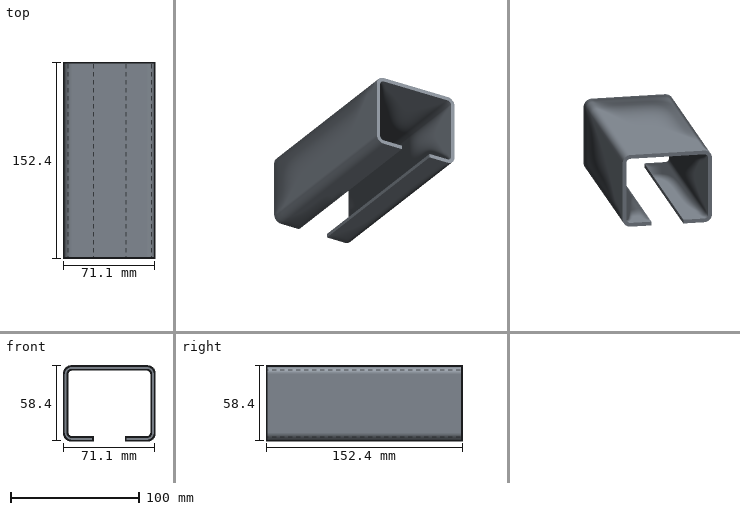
import cadquery as cq

width = 71.12
length = 152.4
height = 58.42
wall = 3.048
outer_bend_radius = 6.35
slot_width = 25.4

inner_bend_radius = outer_bend_radius - wall


def rounded_bar(bar_width, bar_height, corner_radius):
    """Solid bar along Y, centred on the origin, with its four long edges rounded."""
    return cq.Workplane("XY").box(bar_width, length, bar_height).edges("|Y").fillet(corner_radius)


def bottom_slot():
    """Cutter for the full-length gap through the middle of the bottom wall."""
    bottom_wall_center = -height / 2 + wall / 2
    return cq.Workplane("XY").box(slot_width, length, wall).translate((0, 0, bottom_wall_center))


outside = rounded_bar(width, height, outer_bend_radius)
inside = rounded_bar(width - 2 * wall, height - 2 * wall, inner_bend_radius)
result = outside.cut(inside).cut(bottom_slot())